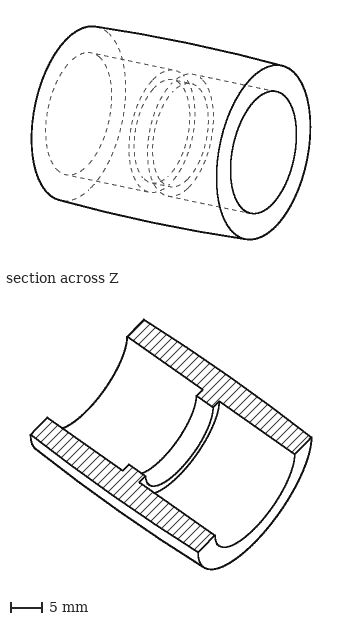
import cadquery as cq

length = 35.0
crown_diameter = 29.4
end_diameter = 28.5
socket_diameter = 20.0
stop_diameter = 16.9
stop_width = 3.5

half_length = length / 2
crown_radius = crown_diameter / 2
end_radius = end_diameter / 2
socket_depth = (length - stop_width) / 2


def crowned_body():
    """Solid of revolution about X whose arc profile is fullest at mid-length."""
    profile = (
        cq.Workplane("XY")
        .moveTo(-half_length, 0)
        .lineTo(-half_length, end_radius)
        .threePointArc((0, crown_radius), (half_length, end_radius))
        .lineTo(half_length, 0)
        .close()
    )
    return profile.revolve(360, (0, 0, 0), (1, 0, 0))


def bore(diameter, start, depth):
    """Cylinder along X, starting at the given X position."""
    return cq.Workplane("YZ", origin=(start, 0, 0)).circle(diameter / 2).extrude(depth)


result = crowned_body().cut(bore(stop_diameter, -half_length, length))
for socket_start in (-half_length, half_length - socket_depth):
    result = result.cut(bore(socket_diameter, socket_start, socket_depth))